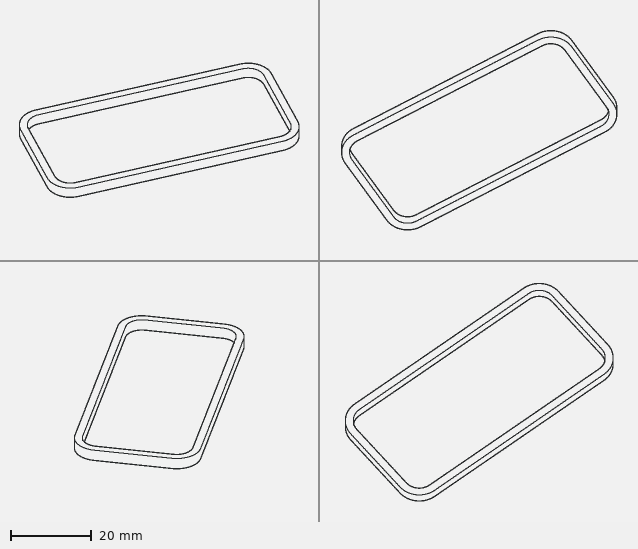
import cadquery as cq

outer_width = 31.9
outer_length = 66.0
height = 3.0
wall = 2.0
outer_corner_radius = 6.1


def rounded_block(width, length, corner_radius):
    """Block of the ring's height, centred on the Z axis, with rounded vertical edges."""
    block = cq.Workplane("XY").rect(width, length).extrude(height)
    return block.edges("|Z").fillet(corner_radius)


outer_block = rounded_block(outer_width, outer_length, outer_corner_radius)
opening = rounded_block(
    outer_width - 2 * wall,
    outer_length - 2 * wall,
    outer_corner_radius - wall,
)

result = outer_block.cut(opening)